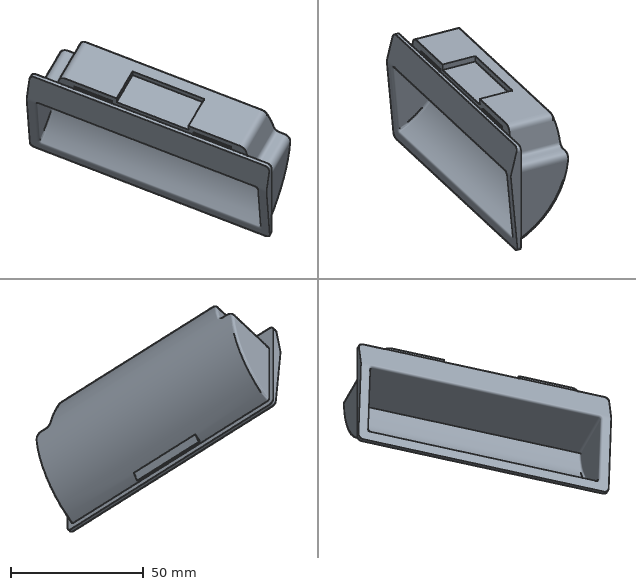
import cadquery as cq
import math


flange_width = 100.0
flange_height = 45.0
flange_corner_radius = 2.0
flange_bottom_thickness = 1.4
flange_top_thickness = 1.5
ridge_thickness = 4.4
ridge_height = 33.5
ridge_radius = 4.2

wall = 2.0
body_half_width = flange_width / 2 - wall
body_top = 48.0
shoulder_height = 35.6
shoulder_radius = 3.0
valley_radius = 2.0
crown_radius = 3.0
lobe_base_half_width = 41.5
lobe_draft = 14.0

back_radius = 36.0
body_depth = 21.7
back_axis_y = body_depth - back_radius
back_axis_z = 35.8
back_edge_radius = 1.0

cavity_half_width = body_half_width - wall
cavity_top = 32.9
cavity_corner_radius = 0.9
rim_radius = 1.0

gap_width = 0.9
gap_floor = 43.2
pocket_width = 29.9
pocket_depth = 2.4
pocket_back = 14.8

notch_inner = 17.0
notch_outer = 32.7
notch_top = 44.8
notch_depth = 0.3

nib_width = pocket_width
nib_back = (3.7, 4.8)
nib_tip = (1.5, 1.8)
nib_front_bottom = (gap_width, 2.4)
nib_root = (gap_width, 4.4)

margin = 0.2


def block(x_range, y_range, z_range):
    """Axis-aligned block spanning the given ranges."""
    ranges = (x_range, y_range, z_range)
    sizes = [high - low for low, high in ranges]
    low_corner = tuple(low for low, high in ranges)
    return cq.Workplane("XY").box(*sizes, centered=False).translate(low_corner)


def centered_block(half_width, y_range, z_range):
    """Block symmetric about X = 0."""
    return block((-half_width, half_width), y_range, z_range)


def side_prism(points, width):
    """Extrude a closed (Y, Z) outline symmetrically along X."""
    return cq.Workplane("YZ").polyline(points).close().extrude(width / 2, both=True)


def rounded_top(prism, radius):
    """Round the two upper long edges of a prism that runs along Y."""
    return prism.edges("|Y and >Z").fillet(radius)


def round_back(block_body, radius, half_width, edge_radius):
    """Give a block a round back and round that back's edges with the side walls."""
    cylinder = (
        cq.Workplane("YZ")
        .center(back_axis_y, back_axis_z)
        .circle(radius)
        .extrude(half_width, both=True)
    )
    rounded = block_body.intersect(cylinder)
    back_face = rounded.faces("%CYLINDER").faces(cq.selectors.AreaNthSelector(-1))
    return back_face.edges("not |X").fillet(edge_radius)


def lobe_half_width(height):
    """Half width of the raised lobe's drafted walls at a height."""
    return lobe_base_half_width - (height - shoulder_height) * math.tan(math.radians(lobe_draft))


def drafted_prism(bottom):
    """Prism between the raised lobe's drafted walls, from a given height to the top."""
    bottom_half_width = lobe_half_width(bottom)
    top_half_width = lobe_half_width(body_top)
    outline = [
        (bottom_half_width, bottom),
        (top_half_width, body_top),
        (-top_half_width, body_top),
        (-bottom_half_width, bottom),
    ]
    return cq.Workplane("XZ").polyline(outline).close().extrude(-body_depth)


def make_flange():
    outline = [
        (0, 0),
        (-flange_bottom_thickness, 0),
        (-ridge_thickness, ridge_height),
        (-flange_top_thickness, flange_height),
        (0, flange_height),
    ]
    flange = side_prism(outline, flange_width)
    flange = flange.edges("|X and <Y").fillet(ridge_radius)
    return flange.edges("|Y").fillet(flange_corner_radius)


def make_body():
    lower_lobe = centered_block(body_half_width, (0, body_depth), (0, shoulder_height))
    body = rounded_top(lower_lobe, shoulder_radius).union(drafted_prism(shoulder_height))
    valleys = cq.selectors.BoxSelector(
        (-lobe_base_half_width - margin, 0, shoulder_height - margin),
        (lobe_base_half_width + margin, body_depth, shoulder_height + margin),
    )
    body = body.edges(valleys).edges("|Y").fillet(valley_radius)
    body = round_back(body, back_radius, body_half_width, back_edge_radius)

    below_crown = (0, shoulder_height + valley_radius)
    crown_limits = rounded_top(drafted_prism(0), crown_radius).union(
        centered_block(body_half_width, (0, body_depth), below_crown)
    )
    return body.intersect(crown_limits)


def make_cavity():
    """Finger space with a round back; it opens through the flange."""
    envelope = centered_block(cavity_half_width, (-ridge_thickness, body_depth), (0, cavity_top))
    cavity = round_back(envelope, back_radius - wall, cavity_half_width, cavity_corner_radius)
    return cavity.intersect(rounded_top(envelope, cavity_corner_radius))


def cut_panel_gap(part):
    return part.cut(centered_block(body_half_width, (0, gap_width), (gap_floor, body_top)))


def cut_latch_pocket(part):
    pocket_floor = body_top - pocket_depth
    return part.cut(
        centered_block(pocket_width / 2, (gap_width, pocket_back), (pocket_floor, body_top))
    )


def cut_notches(part):
    for side in (-1, 1):
        x_range = sorted((side * notch_inner, side * notch_outer))
        y_range = (gap_width, gap_width + notch_depth)
        part = part.cut(block(x_range, y_range, (gap_floor, notch_top)))
    return part


def round_rim(part):
    """Round the edge where the cavity opens through the flange's front."""
    rim_zone = cq.selectors.BoxSelector(
        (-cavity_half_width - margin, -ridge_thickness, margin),
        (cavity_half_width + margin, -flange_bottom_thickness, cavity_top + margin),
    )
    return part.edges(rim_zone).fillet(rim_radius)


nib = side_prism([nib_back, nib_tip, nib_front_bottom, nib_root], nib_width)
handle = make_flange().union(make_body()).union(nib)
handle = cut_panel_gap(handle)
handle = cut_latch_pocket(handle)
handle = cut_notches(handle)
handle = handle.cut(make_cavity())
result = round_rim(handle).solids()